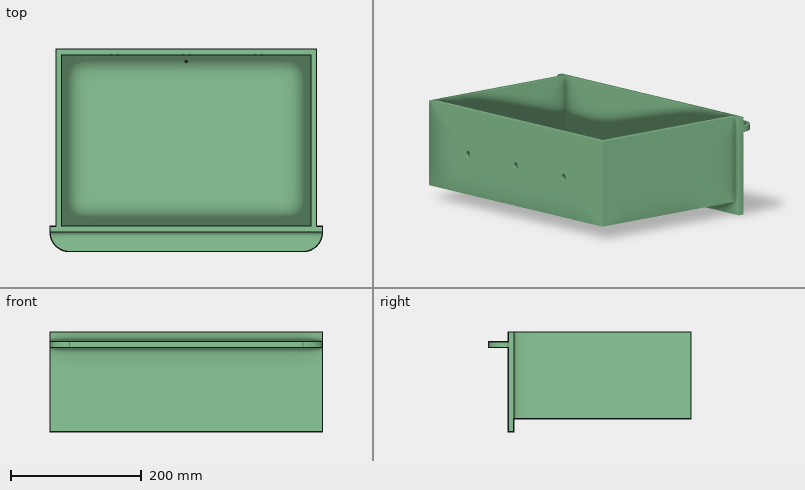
import cadquery as cq

board = 9.0
box_width = 399.0
box_depth = 271.0
box_height = 133.0
floor_thickness = board

panel_width = box_width + 2 * board
panel_height = 153.0
shelf_depth = 30.0
shelf_drop = 15.0
shelf_corner_radius = 30.0

back_hole_diameter = 10.0
back_hole_count = 3
back_hole_spacing = 110.0
back_hole_height = 63.0
floor_hole_diameter = 2.5
floor_hole_inset = 10.0

box_base = panel_height - box_height
box_rear = board + box_depth
cavity_rear = box_rear - board
cavity_width = box_width - 2 * board
floor_top = box_base + floor_thickness


def block(width, y_start, y_end, z_start, z_end):
    """Box centred on X that spans the given Y and Z ranges."""
    start = cq.Workplane("XY", origin=(0, y_start, z_start))
    return start.box(width, y_end - y_start, z_end - z_start, centered=(True, False, False))


def make_box():
    """Open-topped drawer box."""
    body = block(box_width, 0, box_rear, box_base, panel_height)
    cavity = block(cavity_width, board, cavity_rear, floor_top, panel_height)
    return body.cut(cavity)


def make_shelf():
    """Handle shelf with rounded front corners, reaching through the panel's thickness."""
    shelf_top = panel_height - shelf_drop
    shelf = block(panel_width, -shelf_depth, board, shelf_top - board, shelf_top)
    return shelf.edges("|Z and <Y").fillet(shelf_corner_radius)


def make_back_holes():
    """Row of through holes in the back wall."""
    row = cq.Workplane("XZ", origin=(0, box_rear, box_base + back_hole_height))
    row = row.rarray(back_hole_spacing, 1, back_hole_count, 1)
    return row.circle(back_hole_diameter / 2).extrude(board)


def make_floor_hole():
    """Small through hole in the floor near the back wall."""
    centre = (0, cavity_rear - floor_hole_inset, box_base)
    return cq.Workplane("XY", origin=centre).circle(floor_hole_diameter / 2).extrude(floor_thickness)


front_panel = block(panel_width, 0, board, 0, panel_height)
result = make_box().union(front_panel).union(make_shelf())
result = result.cut(make_back_holes()).cut(make_floor_hole())